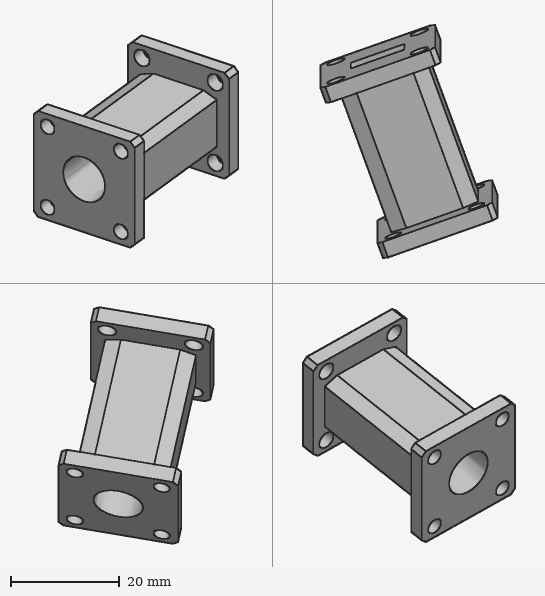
import cadquery as cq

length = 34.0
flange_size = 22.4
flange_thickness = 3.05
flange_chamfer = 1.0
front_hole_diameter = 3.05
back_hole_diameter = 3.4
hole_spacing_x = 16.25
hole_spacing_z = 17.0

tube_width = 17.0
tube_height = 12.07
tube_chamfer_x = 2.95
tube_chamfer_z = 1.1

bore_diameter = 9.25
bore_width = 10.47
bore_height = 5.25
bore_corner_radius = 0.5

front_y = -length / 2


def plane_at(y):
    """Workplane facing +Y, with local x along X and local y along -Z."""
    return cq.Workplane(cq.Plane(origin=(0, y, 0), xDir=(1, 0, 0), normal=(0, 1, 0)))


def flange(start_y, hole_diameter):
    """Square plate with chamfered corners and four through holes."""
    return (
        plane_at(start_y)
        .rect(flange_size, flange_size)
        .extrude(flange_thickness)
        .edges("|Y")
        .chamfer(flange_chamfer)
        .faces(">Y")
        .workplane(origin=(0, 0, 0))
        .rect(hole_spacing_x, hole_spacing_z, forConstruction=True)
        .vertices()
        .hole(hole_diameter)
    )


def tube():
    """Rectangular bar with unequal chamfers along its four long edges."""
    half_width = tube_width / 2
    half_height = tube_height / 2
    shoulder_x = half_width - tube_chamfer_x
    shoulder_z = half_height - tube_chamfer_z
    outline = [
        (half_width, -shoulder_z),
        (half_width, shoulder_z),
        (shoulder_x, half_height),
        (-shoulder_x, half_height),
        (-half_width, shoulder_z),
        (-half_width, -shoulder_z),
        (-shoulder_x, -half_height),
        (shoulder_x, -half_height),
    ]
    return plane_at(front_y).polyline(outline).close().extrude(length)


def bore():
    """Smooth transition from a circle to a rectangle over the full length."""
    circle = cq.Sketch().circle(bore_diameter / 2)
    rectangle = cq.Sketch().rect(bore_width, bore_height).vertices().fillet(bore_corner_radius)
    return (
        plane_at(front_y)
        .placeSketch(circle, rectangle.moved(cq.Location(cq.Vector(0, 0, length))))
        .loft(ruled=True)
    )


front_flange = flange(front_y, front_hole_diameter)
back_flange = flange(length / 2 - flange_thickness, back_hole_diameter)
result = tube().union(front_flange).union(back_flange).cut(bore())